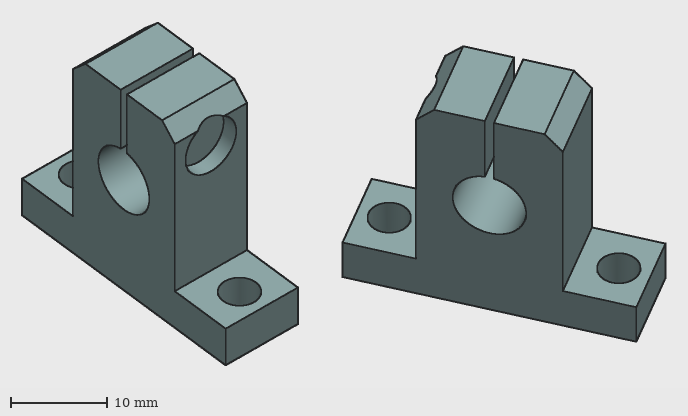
import cadquery as cq

length = 32.0
depth = 10.0
height = 27.0
base_height = 5.0
upright_width = 16.0
chamfer = 2.0

bore_diameter = 8.0
bore_height = 15.0
slot_width = 1.0

mount_hole_diameter = 4.5
mount_hole_spacing = 25.0
screw_recess_diameter = 7.0
screw_recess_height = 22.0
screw_recess_depth = chamfer


def make_body():
    """Flanged base with a central upright chamfered at its top corners."""
    base = cq.Workplane("XY").box(length, depth, base_height, centered=(True, True, False))
    upright = (
        cq.Workplane("XY")
        .box(upright_width, depth, height, centered=(True, True, False))
        .edges("|Y and >Z")
        .chamfer(chamfer)
    )
    return base.union(upright)


def make_shaft_clamp():
    """Shaft bore along Y and the slot that opens it to the top."""
    bore = (
        cq.Workplane("XZ")
        .center(0, bore_height)
        .circle(bore_diameter / 2)
        .extrude(depth / 2, both=True)
    )
    slot_height = height - bore_height
    slot = (
        cq.Workplane("XY")
        .workplane(offset=bore_height)
        .box(slot_width, depth, slot_height, centered=(True, True, False))
    )
    return bore.union(slot)


def make_mount_holes():
    """Vertical through holes, one in each flange of the base."""
    return (
        cq.Workplane("XY")
        .rarray(mount_hole_spacing, 0.32, 2, 1)
        .circle(mount_hole_diameter / 2)
        .extrude(base_height)
    )


def make_screw_recess():
    """Round clamp-screw recess sunk into the +X side of the upright."""
    return (
        cq.Workplane("YZ")
        .workplane(offset=upright_width / 2 - screw_recess_depth)
        .center(0, screw_recess_height)
        .circle(screw_recess_diameter / 2)
        .extrude(screw_recess_depth)
    )


result = make_body().cut(make_shaft_clamp()).cut(make_mount_holes()).cut(make_screw_recess())